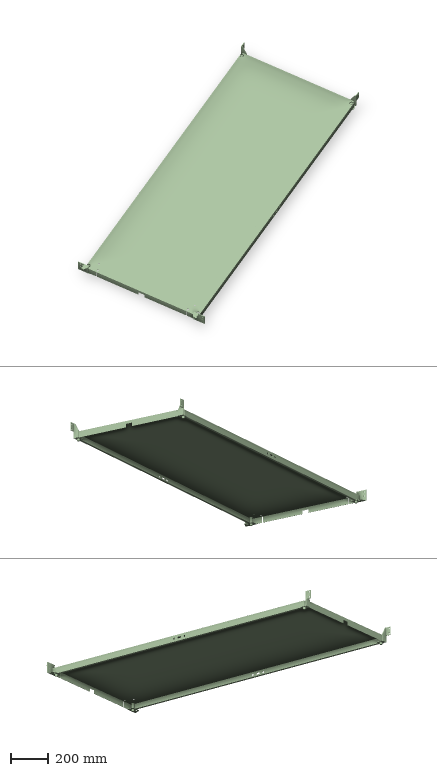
import cadquery as cq

overall_length = 1792.0
overall_width = 782.0
overall_height = 95.0
sheet = 2.0

tray_length = 1720.0
tray_width = 699.0
tray_depth = 35.0
return_width = 15.0
corner_gap_x = 5.0
corner_gap_y = 13.0
half_length = tray_length / 2
half_width = tray_width / 2

cable_notch_width = 38.0
cable_notch_height = 20.0
relief_x = 278.0
relief_width = 5.0

slot_width = 7.0
slot_length = 15.0
slot_setback = 15.0
small_hole_diameter = 9.0
small_hole_x = 295.0
small_hole_setback = 57.0

side_hole_diameter = 10.0
side_hole_offset = 35.0
side_slot_length = 23.0
side_slot_height = 9.0

bolt_x = 339.0
bolt_setback = 20.0
bolt_diameter = 15.0
bolt_clearance_diameter = 22.0
bolt_top = -2.0
bolt_bottom = -47.0
horn_top = bolt_bottom + overall_height

bracket_sheet = 4.0
bracket_inner_x = 328.0
bracket_outer_x = overall_width / 2
bracket_top = 25.0
base_depth = 35.0
base_back_x = 373.0
base_inner_x = 317.0
base_hole_diameter = 13.0
base_hole_x = 360.0
base_hole_setback = 25.0
wing_hole_diameter = 7.0
wing_hole_x = 376.0
wing_hole_heights = (-9.0, 15.0)
hook_reach = 38.0
hook_root_inner_x = 325.0
hook_outer_x = 353.0
hook_tip_inner_x = 340.0
hook_straight = 13.0
barb_x = 358.0
barb_length = 4.0
barb_setbacks = (18.0, 30.0)
tip_notch_depth = 5.0

horn_sheet = 5.0
rear_outer_x = 355.0
rear_foot_inner_x = 320.0
rear_tip_inner_x = 348.0
rear_base_depth = 35.0
pad_length = 25.0
tab_reach = overall_length - tray_length - hook_reach
tab_bottom = 2.0
tab_hole_diameter = 9.0
tab_hole_margin = 9.0


def box(x_range, y_range, z_range):
    """Axis-aligned box between the given limits."""
    sizes = [high - low for low, high in (x_range, y_range, z_range)]
    corner = (x_range[0], y_range[0], z_range[0])
    return cq.Workplane("XY").box(*sizes, centered=False).translate(corner)


def upright(x, y, diameter, bottom, top):
    """Vertical cylinder."""
    return cq.Workplane("XY", origin=(x, y, bottom)).circle(diameter / 2).extrude(top - bottom)


def both_sides(shape):
    """The shape together with its mirror image across the YZ plane."""
    return shape.union(shape.mirror("YZ"))


def make_tray():
    """Top sheet with four lips, side return flanges and open rear corners."""
    tray = box((-half_width, half_width), (-half_length, half_length), (-sheet, 0))
    z_lip = (-tray_depth, 0)
    tray = tray.union(box((-half_width, half_width), (-half_length, sheet - half_length), z_lip))
    tray = tray.union(box((-half_width, half_width), (half_length - sheet, half_length), z_lip))

    y_side = (-half_length, half_length - corner_gap_y)
    side = box((half_width - sheet, half_width), y_side, z_lip)
    flange = box((half_width - return_width, half_width), y_side, (-tray_depth, sheet - tray_depth))
    tray = tray.union(both_sides(side.union(flange)))

    corner = box(
        (half_width - corner_gap_x, half_width),
        (half_length - corner_gap_y, half_length),
        z_lip,
    )
    return tray.cut(both_sides(corner))


def cut_end_lips(tray):
    """Central cable notches in both end lips and relief slits in the front lip."""
    notch = box(
        (-cable_notch_width / 2, cable_notch_width / 2),
        (-half_length, half_length),
        (-tray_depth, cable_notch_height - tray_depth),
    )
    slit = box(
        (relief_x - relief_width / 2, relief_x + relief_width / 2),
        (-half_length, sheet - half_length),
        (-tray_depth, -sheet),
    )
    return tray.cut(notch).cut(both_sides(slit))


def cut_top_face(tray):
    """Short slots and small round holes along the front edge."""
    slot_y = slot_setback - half_length
    slot = box(
        (relief_x - slot_width / 2, relief_x + slot_width / 2),
        (slot_y - slot_length / 2, slot_y + slot_length / 2),
        (-sheet, 0),
    )
    hole = upright(small_hole_x, small_hole_setback - half_length, small_hole_diameter, -sheet, 0)
    return tray.cut(both_sides(slot)).cut(both_sides(hole))


def cut_side_lips(tray):
    """A slot between two round holes, through both side lips."""
    mid_height = -tray_depth / 2
    middle = cq.Workplane("YZ", origin=(-half_width, 0, mid_height))
    holes = middle.pushPoints([(-side_hole_offset, 0), (side_hole_offset, 0)])
    holes = holes.circle(side_hole_diameter / 2).extrude(tray_width)
    slot = middle.slot2D(side_slot_length, side_slot_height).extrude(tray_width)
    return tray.cut(holes).cut(slot)


def make_front_bracket():
    """Right-hand front bracket: wing plate, foot under the tray, forward hook."""
    back = -half_length
    front = back - bracket_sheet
    wing = box(
        (bracket_inner_x, bracket_outer_x),
        (front, back),
        (-tray_depth, bracket_top),
    )
    wing_holes = (
        cq.Workplane("XZ", origin=(0, back, 0))
        .pushPoints([(wing_hole_x, height) for height in wing_hole_heights])
        .circle(wing_hole_diameter / 2)
        .extrude(bracket_sheet)
    )
    foot = (
        cq.Workplane("XY", origin=(0, 0, -tray_depth))
        .polyline([
            (base_inner_x, front),
            (bracket_outer_x, front),
            (base_back_x, back + base_depth),
            (base_inner_x, back + base_depth),
        ])
        .close()
        .extrude(sheet)
    )
    foot_hole = upright(
        base_hole_x, back + base_hole_setback, base_hole_diameter, -tray_depth, sheet - tray_depth
    )
    tip = back - hook_reach
    hook = (
        cq.Workplane("XY", origin=(0, 0, bracket_top - bracket_sheet))
        .polyline([
            (hook_root_inner_x, back),
            (hook_root_inner_x, back - hook_straight),
            (hook_tip_inner_x, tip),
            ((hook_tip_inner_x + hook_outer_x) / 2, tip + tip_notch_depth),
            (hook_outer_x, tip),
            (hook_outer_x, back),
        ])
        .close()
        .extrude(bracket_sheet)
    )
    for setback in barb_setbacks:
        barb_y = back - setback
        hook = hook.union(box(
            (hook_tip_inner_x, barb_x),
            (barb_y, barb_y + barb_length),
            (bracket_top - bracket_sheet, bracket_top),
        ))
    return wing.cut(wing_holes).union(foot.cut(foot_hole)).union(hook)


def make_rear_bracket():
    """Right-hand rear bracket: tapered horn, foot under the tray, rearward tab."""
    rear = half_length + horn_sheet
    horn = (
        cq.Workplane("XZ", origin=(0, rear, 0))
        .polyline([
            (rear_foot_inner_x, -tray_depth),
            (rear_outer_x, -tray_depth),
            (rear_outer_x, horn_top),
            (rear_tip_inner_x, horn_top),
            (rear_foot_inner_x, 0),
        ])
        .close()
        .extrude(horn_sheet)
    )
    z_foot = (-tray_depth, sheet - tray_depth)
    foot = box((rear_foot_inner_x, half_width), (half_length - rear_base_depth, rear), z_foot)
    pad_y = half_length - bolt_setback
    pad = box((bolt_x, rear_outer_x), (pad_y - pad_length / 2, pad_y + pad_length / 2), z_foot)

    tip = half_length + tab_reach
    tab_start = rear_outer_x - bracket_sheet
    tab = box((tab_start, rear_outer_x), (half_length, tip), (tab_bottom, horn_top))
    tab_holes = (
        cq.Workplane("YZ", origin=(tab_start, 0, 0))
        .pushPoints([
            (tip - tab_hole_margin, tab_bottom + tab_hole_margin),
            (tip - tab_hole_margin, horn_top - tab_hole_margin),
        ])
        .circle(tab_hole_diameter / 2)
        .extrude(bracket_sheet)
    )
    return horn.union(foot).union(pad).union(tab.cut(tab_holes))


tray = cut_side_lips(cut_top_face(cut_end_lips(make_tray())))
result = tray.union(both_sides(make_front_bracket()))
result = result.union(both_sides(make_rear_bracket()))
for bolt_y in (bolt_setback - half_length, half_length - bolt_setback):
    clearance = upright(bolt_x, bolt_y, bolt_clearance_diameter, -sheet, 0)
    bolt = upright(bolt_x, bolt_y, bolt_diameter, bolt_bottom, bolt_top)
    result = result.cut(both_sides(clearance)).union(both_sides(bolt))